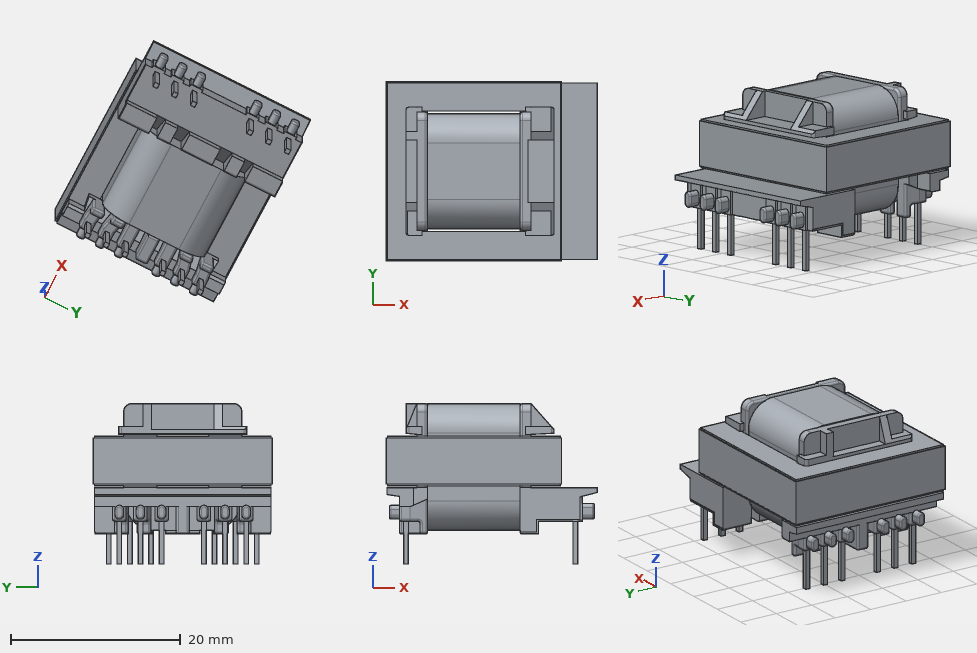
import cadquery as cq

overall_length = 24.9
overall_height = 18.9
tolerance = 0.002

core_length = 20.7
core_width = 21.12
core_height = 5.85
core_band_height = 5.45
core_band_thickness = 0.15
fit_gap = 0.1
stack_gap = 0.2

flange_outer_x = 6.72
flange_inner_x = 5.45
flange_width = 13.95
flange_top = 6.77
flange_corner = 1.0
flange_rounding = 0.3
tube_hole_width = 6.08
tube_hole_height = core_height + 2 * stack_gap
seat_top = tube_hole_height / 2
seat_bottom = -seat_top

winding_width = 13.6
winding_height = 14.95
winding_corner = 3.49

ledge_half_width = 7.55
ledge_inner_x = 6.1
ledge_top = 4.08
ledge_outer_bottom = 3.25
ledge_corner = 0.35
left_ledge_x = 8.0
right_ledge_x = 9.45
rib_inner_y = 3.65
rib_outer_y = 4.68
pocket_floor = 3.69
wedge_margin = 0.25
right_pocket_x = 6.35

block_width = 20.8
rail_outer_x = 8.76
rail_bottom = -5.38
rail_end_x = 7.12
rail_neck_half_width = 8.35
rail_neck_flare = 0.25
rail_roof_inner = -4.48
roof_start_x = 7.52
left_lip_x = 10.23
left_lip_bottom = -3.95
left_lip_root = -4.18
foot_bottom = -7.1
leg_bottom = -8.6
edge_rounding = 0.25
leg_x = 6.32
leg_rounding = 0.2
inside_rounding = 0.3
centre_leg_width = 1.55

right_block_x = 12.47
right_lip_x = overall_length - core_length / 2
right_lip_bottom = -3.7
right_lip_root = -4.23
right_leg_x = 7.62
right_leg_gaps = ((2.02, 3.6), (5.25, 6.37))
right_foot_thickness = 0.3
right_end_thickness = 0.07
right_end_step = 0.22

pitch = 2.5
foot_width = 1.6
left_feet = ((pitch, 0.0), (2 * pitch, 0.55), (3 * pitch, 0.3))
right_feet = tuple((step + 0.5) * pitch for step in (1, 2, 3))
pin_size = 0.57
pin_bottom = flange_top - overall_height
left_pin_x = -8.0
right_pin_x = 11.95
peg_width = 1.0
peg_bottom = -6.85
peg_rounding = 0.2
left_peg_top = -5.2
left_peg_end = 9.95
right_peg_top = -4.98
right_peg_end = 14.2


def block(x_range, y_range, z_range):
    """Box between two limits along each axis."""
    (x0, x1), (y0, y1), (z0, z1) = x_range, y_range, z_range
    return cq.Workplane("XY").box(x1 - x0, y1 - y0, z1 - z0, centered=False).translate((x0, y0, z0))


def side_profile(points, y0, y1):
    """Outline in X and Z, extruded from y0 to y1."""
    return cq.Workplane("XZ", origin=(0, y0, 0)).polyline(points).close().extrude(-(y1 - y0))


def make_core():
    """Rectangular frame with a thin outer band and a middle leg along X through the winding."""
    band = cq.Workplane("XY").box(core_length, core_width, core_band_height)
    inset = 2 * core_band_thickness
    frame = cq.Workplane("XY").box(core_length - inset, core_width - inset, core_height).union(band)
    window_length = 2 * (flange_outer_x + fit_gap)
    window = cq.Workplane("XY").box(window_length, flange_width + 2 * fit_gap, core_height)
    middle_leg = cq.Workplane("XY").box(window_length, tube_hole_width - 2 * fit_gap, core_height)
    return frame.cut(window).union(middle_leg)


def make_winding():
    centre_z = flange_top - winding_height / 2
    coil = cq.Workplane("XY").box(2 * flange_inner_x, winding_width, winding_height)
    return coil.edges("|X").fillet(winding_corner).translate((0, 0, centre_z))


def make_flange(side):
    """End plate of the winding; side is -1 for left and 1 for right."""
    x_range = sorted((side * flange_inner_x, side * flange_outer_x))
    half = flange_width / 2
    plate = block(x_range, (-half, half), (rail_roof_inner, flange_top))
    plate = plate.edges("|X and >Z").fillet(flange_corner)
    inner_face = plate.faces("<X" if side > 0 else ">X")
    return inner_face.edges("not <Z").fillet(flange_rounding)


def make_ledge(side, outer_x):
    """Flat ledge around the top of a flange, with two ribs that rise to the flange top."""
    section = [
        (side * ledge_inner_x, seat_top),
        (side * flange_outer_x, seat_top),
        (side * outer_x, ledge_outer_bottom),
        (side * outer_x, ledge_top),
        (side * ledge_inner_x, ledge_top),
    ]
    ledge = side_profile(section, -ledge_half_width, ledge_half_width)
    ledge = ledge.edges("|Z").edges(">X" if side > 0 else "<X").fillet(ledge_corner)
    x_range = sorted((side * flange_outer_x, side * outer_x))
    for hand in (-1, 1):
        y_range = sorted((hand * rib_inner_y, hand * rib_outer_y))
        ledge = ledge.union(block(x_range, y_range, (pocket_floor, flange_top)))
    return ledge


def ledge_slope_cut(side, outer_x, y0, y1):
    """Wedge above the line from the flange top down to the outer face at pocket floor level."""
    corner = [
        (side * flange_outer_x, flange_top),
        (side * outer_x, pocket_floor),
        (side * (outer_x + wedge_margin), pocket_floor),
        (side * (outer_x + wedge_margin), flange_top),
    ]
    return side_profile(corner, y0, y1)


def pocket_cut(side, inner_x, outer_x):
    """Space between the two ribs of a ledge."""
    x_range = sorted((side * inner_x, side * outer_x))
    return block(x_range, (-rib_inner_y, rib_inner_y), (pocket_floor, flange_top))


def make_left_rail():
    half = block_width / 2
    section = [
        (-left_lip_x, seat_bottom),
        (-left_lip_x, left_lip_bottom),
        (-rail_outer_x, left_lip_root),
        (-rail_outer_x, rail_bottom),
        (-roof_start_x, rail_bottom),
        (-flange_inner_x, rail_roof_inner),
        (-flange_inner_x, seat_bottom),
    ]
    rail = side_profile(section, -half, half)
    for hand in (-1, 1):
        notch = [
            (-rail_end_x, hand * half),
            (-rail_end_x, hand * rail_neck_half_width),
            (-flange_inner_x, hand * (rail_neck_half_width + rail_neck_flare)),
            (-flange_inner_x, hand * half),
        ]
        cutter = cq.Workplane("XY").polyline(notch).close().extrude(rail_bottom)
        rail = rail.cut(cutter)
    return rail


def left_foot_plan(y, slant):
    """Plan outline of a foot: straight at the front, then slanting towards the middle."""
    half = foot_width / 2
    return [
        (-rail_outer_x, y - half),
        (-rail_outer_x, y + half),
        (-roof_start_x, y + half),
        (-flange_inner_x, y + half - slant),
        (-flange_inner_x, y - half - slant),
        (-roof_start_x, y - half),
    ]


def round_left_foot(foot, lowest):
    """Round the outer edges, but not the top, the bends of the sides or the inside corner."""
    def is_rounded(edge):
        centre = edge.Center()
        if abs(centre.z - rail_roof_inner) < tolerance or abs(centre.x + roof_start_x) < tolerance:
            return False
        runs_across = edge.BoundingBox().ylen > foot_width / 2
        at_front = abs(centre.x + rail_outer_x) < tolerance
        at_bottom = abs(centre.z - lowest) < tolerance
        return at_front or at_bottom or not runs_across

    return foot.edges().filter(is_rounded).fillet(edge_rounding)


def make_left_foot(y, slant, has_leg):
    """Foot under the rail at +y, with or without a leg behind it."""
    lowest = leg_bottom if has_leg else foot_bottom
    foot = cq.Workplane("XY").workplane(offset=lowest).polyline(left_foot_plan(y, slant)).close()
    foot = foot.extrude(rail_roof_inner - lowest)
    y_limits = (y - foot_width, y + foot_width)
    if has_leg:
        relief = block((-rail_outer_x, -leg_x), y_limits, (leg_bottom, foot_bottom))
        foot = foot.cut(relief.edges(">X and >Z").fillet(inside_rounding))
    foot = round_left_foot(foot, lowest)
    above_rail_underside = [
        (-roof_start_x, rail_bottom),
        (-flange_inner_x, rail_roof_inner),
        (-rail_outer_x, rail_roof_inner),
        (-rail_outer_x, rail_bottom),
    ]
    return foot.cut(side_profile(above_rail_underside, *y_limits))


def make_centre_leg():
    half = centre_leg_width / 2
    leg = block((-rail_outer_x, -flange_inner_x), (-half, half), (leg_bottom, rail_roof_inner))
    leg = leg.edges("|Z and <X").fillet(edge_rounding)
    return leg.faces("<Z").edges().fillet(leg_rounding)


def right_section(step, half_width):
    """Section of the right block with its underside and leg cut back by step."""
    section = [
        (flange_inner_x, seat_bottom),
        (right_lip_x, seat_bottom),
        (right_lip_x, right_lip_bottom),
        (right_block_x, right_lip_root),
        (right_block_x, foot_bottom + step),
        (right_leg_x - step, foot_bottom + step),
        (right_leg_x - step, leg_bottom + step),
        (flange_inner_x, leg_bottom + step),
    ]
    return side_profile(section, -half_width, half_width)


def make_right_block():
    half = block_width / 2
    wire_gap = [
        (flange_inner_x, leg_bottom),
        (right_leg_x, leg_bottom),
        (right_leg_x, foot_bottom),
        (flange_inner_x, rail_roof_inner),
    ]
    body = right_section(0, half - right_end_thickness)
    body = body.faces("<Z").edges("<X").fillet(leg_rounding)
    body = body.union(right_section(right_end_step, half))
    for hand in (-1, 1):
        for gap in right_leg_gaps:
            body = body.cut(side_profile(wire_gap, *sorted(hand * y for y in gap)))
    return body


def make_right_foot(y):
    half = foot_width / 2
    x_range = (right_block_x, right_block_x + right_foot_thickness)
    return block(x_range, (y - half, y + half), (foot_bottom, right_lip_root))


def make_pin(x, y):
    pin = cq.Workplane("XY", origin=(x, y, pin_bottom)).rect(pin_size, pin_size)
    return pin.extrude(foot_bottom - pin_bottom)


def make_peg(side, start_x, end_x, y, top):
    """Peg of slot-shaped section that points outward, with a rounded end."""
    height = top - peg_bottom
    peg = cq.Workplane("YZ", origin=(side * start_x, y, top - height / 2))
    peg = peg.slot2D(height, peg_width, 90).extrude(side * (end_x - start_x))
    return peg.faces(">X" if side > 0 else "<X").edges().fillet(peg_rounding)


def make_bobbin():
    bobbin = make_winding()
    for side, ledge_x in ((-1, left_ledge_x), (1, right_ledge_x)):
        bobbin = bobbin.union(make_flange(side)).union(make_ledge(side, ledge_x))
    bobbin = bobbin.cut(ledge_slope_cut(-1, left_ledge_x, -ledge_half_width, -rib_inner_y))
    bobbin = bobbin.cut(ledge_slope_cut(1, right_ledge_x, -ledge_half_width, ledge_half_width))
    bobbin = bobbin.cut(pocket_cut(-1, flange_outer_x, left_ledge_x))
    bobbin = bobbin.cut(pocket_cut(1, right_pocket_x, right_ledge_x))

    bobbin = bobbin.union(make_left_rail()).union(make_centre_leg()).union(make_right_block())
    right_foot_x = right_block_x + right_foot_thickness
    for y, slant in left_feet:
        foot = make_left_foot(y, slant, has_leg=slant > 0)
        bobbin = bobbin.union(foot).union(foot.mirror("XZ"))
        for hand in (-1, 1):
            bobbin = bobbin.union(make_pin(left_pin_x, hand * y))
            bobbin = bobbin.union(make_peg(-1, rail_outer_x, left_peg_end, hand * y, left_peg_top))
    for y in right_feet:
        for hand in (-1, 1):
            bobbin = bobbin.union(make_right_foot(hand * y)).union(make_pin(right_pin_x, hand * y))
            bobbin = bobbin.union(make_peg(1, right_foot_x, right_peg_end, hand * y, right_peg_top))

    tube_hole = cq.Workplane("XY").box(2 * flange_outer_x, tube_hole_width, tube_hole_height)
    return bobbin.cut(tube_hole)


core = make_core()
bobbin = make_bobbin()
result = cq.Compound.makeCompound([core.solids().val(), bobbin.solids().val()])